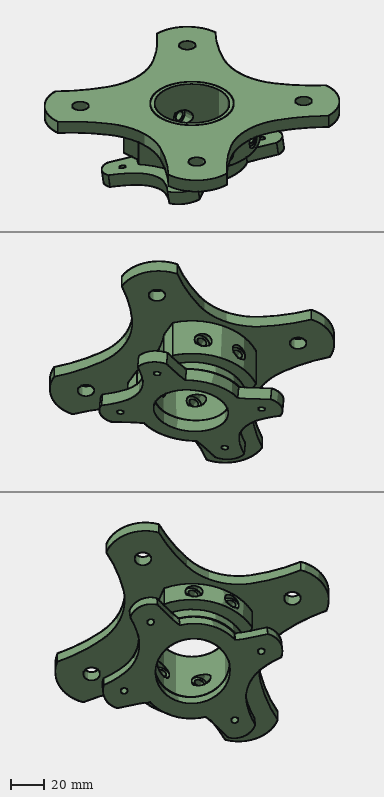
import cadquery as cq
import math

upper_thickness = 8.0
upper_half_size = 70.0
upper_ear_radius = 24.9
upper_scoop_depth = 45.1
upper_scoop_break = 20.5
upper_hole_offset = 47.5
upper_hole_diameter = 10.0
socket_diameter = 50.4
plate_bottom = -upper_thickness

lower_thickness = 8.0
lower_half_x = 37.5
lower_half_y = 48.0
lower_ear_radius = 13.0
lower_scoop_depth_x = 24.6
lower_scoop_break_x = 24.1
lower_scoop_depth_y = 35.3
lower_scoop_break_y = 12.6
lower_hole_x = 24.9
lower_hole_y = 35.1
lower_hole_diameter = 4.0
tilt = math.radians(10)
tilt_center_z = -34.6
scoop_angle = math.radians(30)

spigot_diameter = 50.0
bore_diameter = 45.0
hub_radius = 33.0
flute_half_width = 17.8
flute_depth = 3.1

jaw_radius = 41.0
jaw_half_width = 28.0
jaw_clearance = 0.3
long_jaw_bottom = tilt_center_z
short_jaw_bottom = plate_bottom - 15.0

screw_offset_y = 12.0
long_jaw_screw_z = plate_bottom - 15.0
short_jaw_screw_z = plate_bottom - 7.0
screw_diameter = 6.0
recess_diameter = 10.0
inner_seat_x = 21.4
outer_seat_x = 37.1

tilted_top = cq.Plane(
    origin=(0, 0, tilt_center_z),
    xDir=(math.cos(tilt), 0, math.sin(tilt)),
    normal=(-math.sin(tilt), 0, math.cos(tilt)),
)


def scoop_points(depth, half_break, corner):
    """(along, outward) points of half a scoop: bottom, end of middle arc, blend middle, corner.

    The blend is an arc that leaves the middle arc tangentially and ends at the corner.
    """
    arc_end = (half_break, depth + half_break * math.tan(scoop_angle / 2))
    run = corner[0] - arc_end[0]
    rise = corner[1] - arc_end[1]
    half_turn = math.atan2(rise, run) - scoop_angle
    sag_ratio = math.tan(half_turn / 2) / 2
    blend_middle = (
        arc_end[0] + run / 2 + sag_ratio * rise,
        arc_end[1] + rise / 2 - sag_ratio * run,
    )
    return (0, depth), arc_end, blend_middle, corner


def four_eared_plate(plane, thickness, half_x, half_y, ear_radius, scoop_x, scoop_y):
    """Plate below `plane`; each scoop is given as (depth, half width of its middle arc)."""
    ear_x = half_x - ear_radius
    ear_y = half_y - ear_radius
    ear_reach = ear_radius * math.sqrt(0.5)
    points_x = scoop_points(*scoop_x, (ear_y, half_x))
    points_y = scoop_points(*scoop_y, (ear_x, half_y))

    outline = cq.Workplane(plane).moveTo(points_x[1][1], -points_x[1][0])
    for side_x, side_y in ((1, 1), (-1, 1), (-1, -1), (1, -1)):
        on_x = [(side_x * outward, side_y * along) for along, outward in points_x]
        on_y = [(side_x * along, side_y * outward) for along, outward in points_y]
        before, after = (on_x, on_y) if side_x == side_y else (on_y, on_x)
        ear_middle = (side_x * (ear_x + ear_reach), side_y * (ear_y + ear_reach))
        outline = (
            outline.threePointArc(before[0], before[1])
            .threePointArc(before[2], before[3])
            .threePointArc(ear_middle, after[3])
            .threePointArc(after[2], after[1])
        )
    return outline.close().extrude(-thickness)


def ear_holes(plane, thickness, offset_x, offset_y, diameter):
    return (
        cq.Workplane(plane)
        .rect(2 * offset_x, 2 * offset_y, forConstruction=True)
        .vertices()
        .circle(diameter / 2)
        .extrude(-thickness)
    )


def cylinder(radius, top, bottom):
    return cq.Workplane("XY", origin=(0, 0, bottom)).circle(radius).extrude(top - bottom)


def below_tilted_top():
    """Block that fills everything under the top face of the lower plate."""
    reach = 2 * upper_half_size
    return cq.Workplane(tilted_top).rect(reach, reach).extrude(-reach)


def screw_hole(side, y, z):
    """Hole from inside the bore outward: recess, narrow neck, recess in the jaw."""
    hole = cq.Workplane("YZ", origin=(0, y, z)).circle(screw_diameter / 2).extrude(side * jaw_radius)
    for near, far in ((0, inner_seat_x), (outer_seat_x, jaw_radius)):
        recess = cq.Workplane("YZ", origin=(side * near, y, z)).circle(recess_diameter / 2)
        hole = hole.union(recess.extrude(side * (far - near)))
    return hole


def cut_screw_holes(body):
    for side, z in ((-1, long_jaw_screw_z), (1, short_jaw_screw_z)):
        for y in (-screw_offset_y, screw_offset_y):
            body = body.cut(screw_hole(side, y, z))
    return body


def jaw(side, bottom):
    height = plate_bottom - bottom
    ring = cylinder(jaw_radius, plate_bottom, bottom)
    ring = ring.cut(cylinder(hub_radius + jaw_clearance, plate_bottom, bottom))
    side_block = cq.Workplane("XY", origin=(side * jaw_radius / 2, 0, bottom + height / 2)).box(
        jaw_radius, 2 * jaw_half_width, height
    )
    return ring.intersect(side_block)


def flute(side):
    """Shallow concave groove down the full height of the hub on one Y side."""
    corner_y = math.sqrt(hub_radius**2 - flute_half_width**2)
    return (
        cq.Workplane("XY", origin=(0, 0, plate_bottom))
        .moveTo(-flute_half_width, side * corner_y)
        .threePointArc((0, side * (corner_y - flute_depth)), (flute_half_width, side * corner_y))
        .lineTo(flute_half_width, side * hub_radius)
        .lineTo(-flute_half_width, side * hub_radius)
        .close()
        .extrude(2 * tilt_center_z)
    )


def make_upper_body():
    """Mounting plate with a socket for the spigot and two jaws beside the hub."""
    scoop = (upper_scoop_depth, upper_scoop_break)
    plane = cq.Plane.XY()
    body = four_eared_plate(
        plane, upper_thickness, upper_half_size, upper_half_size, upper_ear_radius, scoop, scoop
    )
    body = body.cut(
        ear_holes(plane, upper_thickness, upper_hole_offset, upper_hole_offset, upper_hole_diameter)
    )
    body = body.cut(cylinder(socket_diameter / 2, 0, plate_bottom))
    body = body.union(jaw(-1, long_jaw_bottom)).union(jaw(1, short_jaw_bottom))
    return cut_screw_holes(body)


def make_lower_body():
    """Tilted plate with an upright fluted hub and a spigot that fills the socket."""
    plate = four_eared_plate(
        tilted_top,
        lower_thickness,
        lower_half_x,
        lower_half_y,
        lower_ear_radius,
        (lower_scoop_depth_x, lower_scoop_break_x),
        (lower_scoop_depth_y, lower_scoop_break_y),
    )
    plate = plate.union(cq.Workplane(tilted_top).circle(hub_radius).extrude(-lower_thickness))
    plate = plate.cut(ear_holes(tilted_top, lower_thickness, lower_hole_x, lower_hole_y, lower_hole_diameter))
    plate = plate.cut(cq.Workplane(tilted_top).circle(bore_diameter / 2).extrude(-lower_thickness))

    upright_bottom = 2 * tilt_center_z
    hub = cylinder(hub_radius, plate_bottom, upright_bottom).cut(flute(-1)).cut(flute(1))
    upright = hub.union(cylinder(spigot_diameter / 2, 0, plate_bottom))
    upright = upright.cut(cylinder(bore_diameter / 2, 0, upright_bottom))
    upright = upright.cut(below_tilted_top())
    return cut_screw_holes(upright.union(plate))


upper_body = make_upper_body()
lower_body = make_lower_body()
result = cq.Compound.makeCompound([upper_body.val(), lower_body.val()])